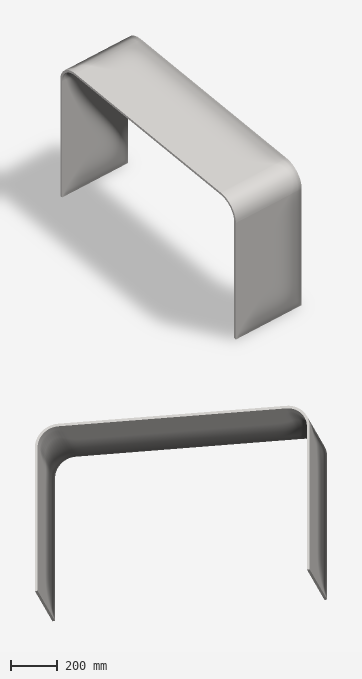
import cadquery as cq

span = 1200.0
depth = 360.0
height = 760.0
thickness = 12.0
outer_radius = 102.0
inner_radius = outer_radius - thickness


def arch(width, top, corner_radius):
    """Solid block standing on Z = 0 with its two upper long edges rounded."""
    block = cq.Workplane("XY").box(width, depth, top, centered=(True, True, False))
    return block.edges("|Y and >Z").fillet(corner_radius)


outer_arch = arch(span, height, outer_radius)
inner_arch = arch(span - 2 * thickness, height - thickness, inner_radius)
result = outer_arch.cut(inner_arch)